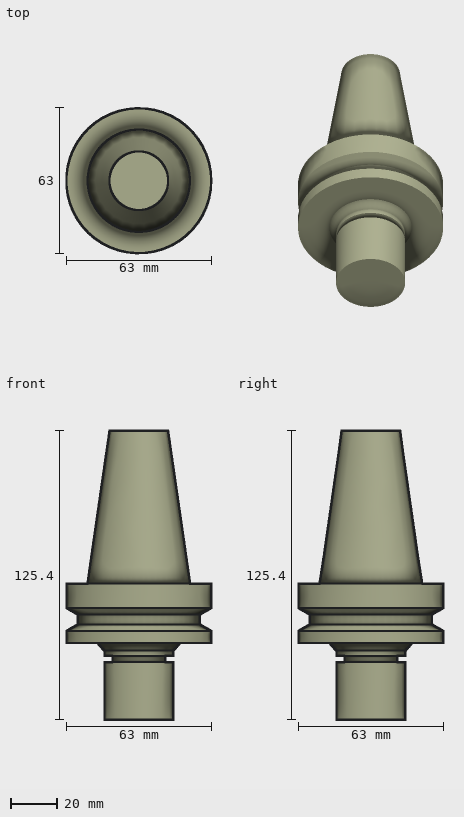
import cadquery as cq

NUT_TOP = 25.1
NECK_TOP = 27.7
COLLAR_TOP = 30.0
FLANGE_BOTTOM = 33.2
LOWER_RIM_TOP = 38.5
GROOVE_BOTTOM = 41.4
GROOVE_TOP = 45.6
UPPER_RIM_BOTTOM = 48.5
FLANGE_TOP = 59.1
TAPER_BOTTOM = 59.8
TOTAL_HEIGHT = 125.4

NUT_DIAMETER = 30.0
NECK_DIAMETER = 23.0
COLLAR_DIAMETER = NUT_DIAMETER
COLLAR_CONE_DIAMETER = 35.7
FLANGE_DIAMETER = 63.0
GROOVE_DIAMETER = 53.0
TAPER_LARGE_DIAMETER = 44.4
TAPER_SMALL_DIAMETER = 25.5


def cylinder(diameter, bottom, top):
    """Upright cylinder on the Z axis between two levels."""
    return cq.Workplane("XY").workplane(offset=bottom).circle(diameter / 2).extrude(top - bottom)


def cone(bottom_diameter, top_diameter, bottom, top):
    """Upright truncated cone on the Z axis between two levels."""
    return cq.Workplane("XY").add(
        cq.Solid.makeCone(
            bottom_diameter / 2,
            top_diameter / 2,
            top - bottom,
            pnt=cq.Vector(0, 0, bottom),
        )
    )


def make_flange():
    """Round flange with a V-sided gripper groove around it."""
    lower_rim = cylinder(FLANGE_DIAMETER, FLANGE_BOTTOM, LOWER_RIM_TOP)
    lower_flank = cone(FLANGE_DIAMETER, GROOVE_DIAMETER, LOWER_RIM_TOP, GROOVE_BOTTOM)
    groove_floor = cylinder(GROOVE_DIAMETER, GROOVE_BOTTOM, GROOVE_TOP)
    upper_flank = cone(GROOVE_DIAMETER, FLANGE_DIAMETER, GROOVE_TOP, UPPER_RIM_BOTTOM)
    upper_rim = cylinder(FLANGE_DIAMETER, UPPER_RIM_BOTTOM, FLANGE_TOP)
    return lower_rim.union(lower_flank).union(groove_floor).union(upper_flank).union(upper_rim)


def make_shank():
    """Machine taper standing on a short cylindrical step above the flange."""
    step = cylinder(TAPER_LARGE_DIAMETER, FLANGE_TOP, TAPER_BOTTOM)
    taper = cone(TAPER_LARGE_DIAMETER, TAPER_SMALL_DIAMETER, TAPER_BOTTOM, TOTAL_HEIGHT)
    return step.union(taper)


def make_nose():
    """Neck, collar and cone that carry the nut below the flange."""
    neck = cylinder(NECK_DIAMETER, NUT_TOP, NECK_TOP)
    collar = cylinder(COLLAR_DIAMETER, NECK_TOP, COLLAR_TOP)
    collar_cone = cone(COLLAR_DIAMETER, COLLAR_CONE_DIAMETER, COLLAR_TOP, FLANGE_BOTTOM)
    return neck.union(collar).union(collar_cone)


def make_holder():
    """Tool holder: taper shank, flange and nose in one piece."""
    return make_shank().union(make_flange()).union(make_nose())


def make_nut():
    """Plain round nut whose top face meets the end of the holder's neck."""
    return cylinder(NUT_DIAMETER, 0, NUT_TOP)


holder = make_holder()
nut = make_nut()

result = cq.Compound.makeCompound([holder.val(), nut.val()])